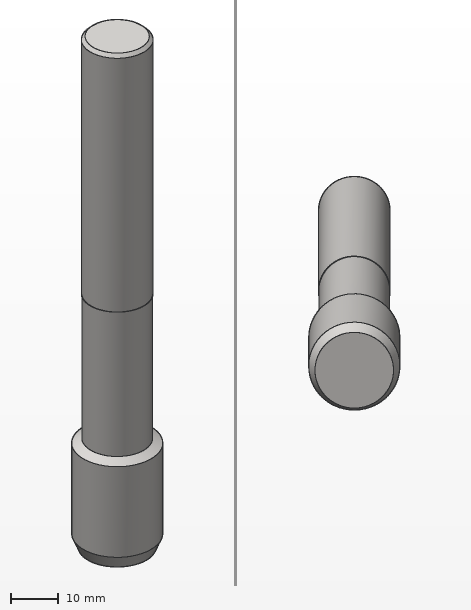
import cadquery as cq

total_length = 125.0
shank_diameter = 15.0
shank_length = 63.0
shank_chamfer = 0.8
neck_diameter = 14.8
head_diameter = 19.05
head_length = 25.4
shoulder_height = 1.2
tip_diameter = 16.4
tip_height = 3.2

shank_radius = shank_diameter / 2
neck_radius = neck_diameter / 2
head_radius = head_diameter / 2
tip_radius = tip_diameter / 2
neck_bottom = head_length + shoulder_height
shank_bottom = total_length - shank_length


def revolve_profile(points):
    """Turn a closed half profile of (radius, height) points about the Z axis."""
    return cq.Workplane("XZ").polyline(points).close().revolve(360, (0, 0, 0), (0, 1, 0))


def make_cutting_head():
    """Cylindrical cutting head that tapers in to a flat tip."""
    return revolve_profile(
        [
            (0, 0),
            (tip_radius, 0),
            (head_radius, tip_height),
            (head_radius, head_length),
            (0, head_length),
        ]
    )


def make_shank():
    """Conical shoulder, slightly relieved neck and chamfered clamping shank."""
    return revolve_profile(
        [
            (0, head_length),
            (head_radius, head_length),
            (neck_radius, neck_bottom),
            (neck_radius, shank_bottom),
            (shank_radius, shank_bottom),
            (shank_radius, total_length - shank_chamfer),
            (shank_radius - shank_chamfer, total_length),
            (0, total_length),
        ]
    )


cutting_head = make_cutting_head()
shank = make_shank()

result = cq.Compound.makeCompound([cutting_head.val(), shank.val()])